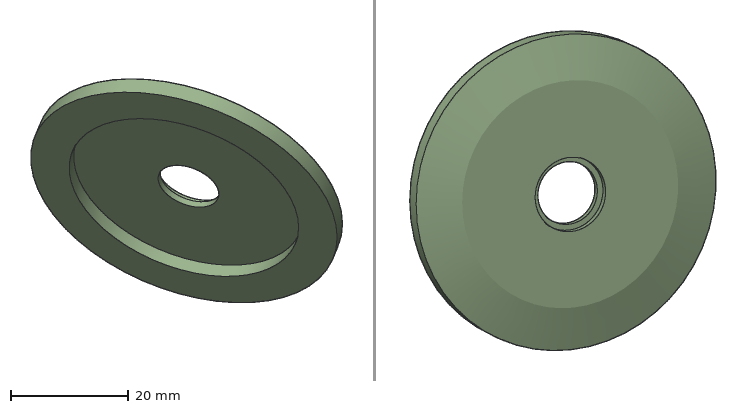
import cadquery as cq

outer_diameter = 55.0
thickness = 5.0
rim_thickness = 3.0
back_flat_diameter = 39.6
recess_diameter = 41.2
recess_depth = 2.55
bore_diameter = 10.9
counterbore_diameter = 12.9
counterbore_depth = 1.25

outer_radius = outer_diameter / 2
back_flat_radius = back_flat_diameter / 2
recess_radius = recess_diameter / 2
bore_radius = bore_diameter / 2
counterbore_radius = counterbore_diameter / 2
counterbore_floor = thickness - counterbore_depth

half_section = [
    (bore_radius, recess_depth),
    (recess_radius, recess_depth),
    (recess_radius, 0),
    (outer_radius, 0),
    (outer_radius, rim_thickness),
    (back_flat_radius, thickness),
    (counterbore_radius, thickness),
    (counterbore_radius, counterbore_floor),
    (bore_radius, counterbore_floor),
]

disc = cq.Workplane("XY").polyline(half_section).close().revolve(360, (0, 0, 0), (0, 1, 0))

result = disc